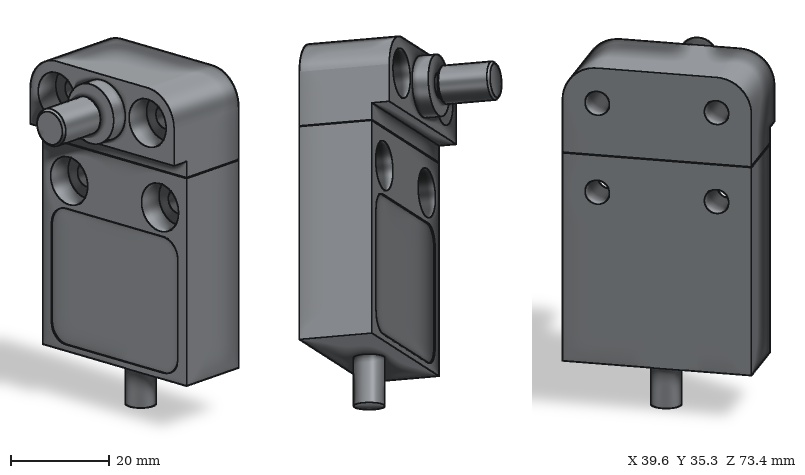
import cadquery as cq

overall_depth = 35.33
overall_height = 73.41
housing_width = 39.62
housing_height = 63.3
body_depth = 15.75
head_depth = 19.5
head_height = 15.1
corner_radius = 7.3

groove_below_top = 18.6
groove_top_z = housing_height - groove_below_top
groove_width = 0.15
groove_depth = 0.1

upper_hole_below_top = 7.55
upper_hole_z = housing_height - upper_hole_below_top
hole_spacing_x = 2 * (housing_width / 2 - corner_radius)
hole_spacing_z = 19.05
hole_diameter = 5.1
counterbore_diameter = 10.2
counterbore_depth = 5.3

recess_width = 34.8
recess_height = 29.2
recess_bottom_z = 1.35
recess_radius = 4.0
recess_depth = 0.3

plunger_z = upper_hole_z
collar_diameter = 12.7
collar_length = 3.5
neck_diameter = 5.2
neck_length = 0.85
pin_diameter = 7.94
pin_chamfer = 0.5
pin_length = overall_depth - head_depth - collar_length - neck_length

cable_diameter = 6.4
cable_length = overall_height - housing_height


def front_plane(depth, x=0, z=0):
    """Plane at the given distance in front of the back face, facing -Y."""
    return cq.Workplane("XZ", origin=(x, -depth, z))


def make_housing():
    """L-shaped block with two rounded top corners."""
    step_z = housing_height - head_height
    profile = [
        (0, 0),
        (-body_depth, 0),
        (-body_depth, step_z),
        (-head_depth, step_z),
        (-head_depth, housing_height),
        (0, housing_height),
    ]
    block = cq.Workplane("YZ").polyline(profile).close().extrude(housing_width / 2, both=True)
    return block.edges("|Y and >Z").fillet(corner_radius)


def make_parting_groove():
    """Rectangular ring that is cut from all four sides of the body."""
    middle = cq.Workplane("XY", origin=(0, -body_depth / 2, groove_top_z - groove_width))
    outer = middle.rect(housing_width, body_depth).extrude(groove_width)
    core = middle.rect(housing_width - 2 * groove_depth, body_depth - 2 * groove_depth)
    return outer.cut(core.extrude(groove_width))


def make_mounting_hole(x, z, face_depth):
    """Through hole with a counterbore that starts at the front face."""
    bore = front_plane(0, x, z).circle(hole_diameter / 2).extrude(face_depth)
    counterbore_floor = front_plane(face_depth - counterbore_depth, x, z)
    return bore.union(counterbore_floor.circle(counterbore_diameter / 2).extrude(counterbore_depth))


def make_recess():
    """Rounded rectangular pocket in the front of the body."""
    floor = front_plane(body_depth - recess_depth, z=recess_bottom_z + recess_height / 2)
    return floor.rect(recess_width, recess_height).extrude(recess_depth).edges("|Y").fillet(recess_radius)


def make_plunger():
    """Collar, neck and pin in line, standing on the front of the head."""
    neck_start = head_depth + collar_length
    pin_start = neck_start + neck_length
    collar = front_plane(head_depth, z=plunger_z).circle(collar_diameter / 2).extrude(collar_length)
    neck = front_plane(neck_start, z=plunger_z).circle(neck_diameter / 2).extrude(neck_length)
    pin = front_plane(pin_start, z=plunger_z).circle(pin_diameter / 2).extrude(pin_length)
    pin = pin.faces("<Y or >Y").chamfer(pin_chamfer)
    return collar.union(neck).union(pin)


def make_cable():
    """Round cable stub below the middle of the body."""
    start = cq.Workplane("XY", origin=(0, -body_depth / 2, 0))
    return start.circle(cable_diameter / 2).extrude(-cable_length)


result = make_housing().cut(make_parting_groove()).cut(make_recess())

hole_rows = [
    (upper_hole_z, head_depth),
    (upper_hole_z - hole_spacing_z, body_depth),
]
for row_z, row_face_depth in hole_rows:
    for side in (-1, 1):
        result = result.cut(make_mounting_hole(side * hole_spacing_x / 2, row_z, row_face_depth))

result = result.union(make_plunger()).union(make_cable())